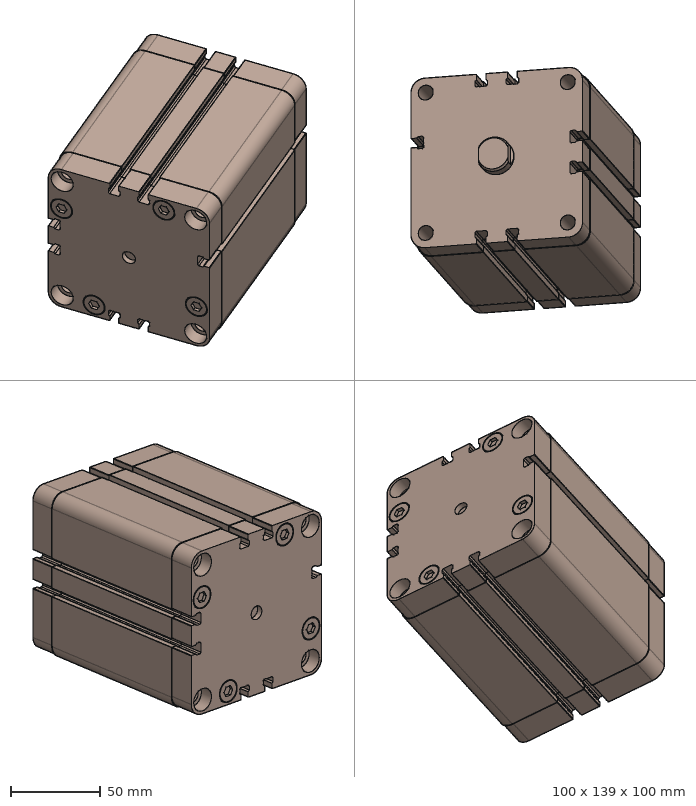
import cadquery as cq
import math

barrel_width = 100.0
cap_width = 99.1
total_length = 139.0
rod_length = 8.2
cap_length = 16.0
barrel_length = total_length - rod_length - 2 * cap_length
corner_radius = 8.0
front_y = -total_length / 2

overlap = 1.4
overcut = 1.4

slot_offset = 9.0
side_slot_offset = 12.1
slot_depth = 7.6
neck_width = 5.1
neck_depth = 3.9
slot_head_width = 7.0
slot_corner = 0.8
barrel_slot_clearance = 0
cap_slot_clearance = 0.1
cap_lip_chamfer = 0.3
barrel_lip_chamfer = 0.1

mount_spacing = 82.0
mount_diameter = 8.6
mount_counterbore = 13.5
mount_counterbore_depth = 8.3

screw_position = (21.4, 41.4)
screw_recess_diameter = 13.5
screw_head_diameter = 12.5
screw_recess_depth = 5.5
socket_across_flats = 5.7
socket_depth = 2.0

centre_hole_diameter = 8.0
centre_hole_depth = 3.5

rod_diameter = 20.0
rod_across_flats = 17.0
flat_length = 5.8
tip_chamfer_length = 1.5
tip_chamfer_radial = 1.0


def section_plane(y):
    """XZ plane at the given Y whose extrusions run towards +Y."""
    return cq.Workplane(cq.Plane(origin=(0, y, 0), xDir=(1, 0, 0), normal=(0, -1, 0)))


def prism_block(width, y, length):
    """Square block with rounded long edges."""
    return section_plane(y).rect(width, width).extrude(-length).edges("|Y").fillet(corner_radius)


def slot_cutter(offset, angle, width, clearance, lip, y, length):
    """Slot opening towards +Z at X = offset, then turned by angle about the Y axis.

    The clearance widens the slot all round and the lip bevels its mouth in a block of the given width.
    """
    mouth = width / 2
    floor = barrel_width / 2 - slot_depth - clearance
    shoulder = barrel_width / 2 - neck_depth + clearance
    neck = neck_width / 2 + clearance
    head = slot_head_width / 2 + clearance
    right_side = [
        (neck + lip, mouth + overcut),
        (neck + lip, mouth),
        (neck, mouth - lip),
        (neck, shoulder),
        (head, shoulder - (head - neck)),
        (head, floor + slot_corner),
        (head - slot_corner, floor),
    ]
    left_side = [(-x, z) for x, z in reversed(right_side)]
    outline = [(offset + x, z) for x, z in right_side + left_side]
    cutter = section_plane(y).polyline(outline).close().extrude(-length)
    return cutter.rotate((0, 0, 0), (0, 1, 0), angle)


def slotted_block(width, clearance, lip, y, length):
    """Rounded block with two slots on three sides and one on the +X side."""
    block = prism_block(width, y, length)
    slots = [(side * slot_offset, angle) for angle in (0, 180, 270) for side in (-1, 1)]
    slots.append((-side_slot_offset, 90))
    for offset, angle in slots:
        block = block.cut(slot_cutter(offset, angle, width, clearance, lip, y, length))
    return block


def piston_rod(y):
    """Rod end with a bevelled tip and flats that run out at 45 degrees."""
    radius = rod_diameter / 2
    flat = rod_across_flats / 2
    tip = y + rod_length
    rod = (
        cq.Workplane("XY")
        .polyline([
            (0, y - overlap),
            (radius, y - overlap),
            (radius, tip - tip_chamfer_length),
            (radius - tip_chamfer_radial, tip),
            (0, tip),
        ])
        .close()
        .revolve(360, (0, 0, 0), (0, 1, 0))
    )
    runout = radius - flat
    flat_start = tip - flat_length
    flat_cutter = (
        cq.Workplane("XY")
        .polyline([(flat, tip), (flat, flat_start), (radius, flat_start - runout), (radius, tip)])
        .close()
        .extrude(radius, both=True)
    )
    return rod.cut(flat_cutter).cut(flat_cutter.mirror("YZ"))


def cap_screw_cuts():
    """Gaps around the four flush screw heads and their hexagon sockets."""
    x, z = screw_position
    centres = [(x, z), (z, -x), (-x, -z), (-z, x)]
    screws = section_plane(front_y).pushPoints(centres)
    recesses = screws.circle(screw_recess_diameter / 2).extrude(-screw_recess_depth)
    heads = screws.circle(screw_head_diameter / 2).extrude(-screw_recess_depth)
    socket_diameter = socket_across_flats / math.cos(math.pi / 6)
    sockets = screws.polygon(6, socket_diameter).extrude(-socket_depth)
    return recesses.cut(heads).union(sockets)


barrel_y = front_y + cap_length
rear_cap_y = barrel_y + barrel_length
rod_y = rear_cap_y + cap_length

body = slotted_block(barrel_width, barrel_slot_clearance, barrel_lip_chamfer, barrel_y, barrel_length)
for cap_y in (front_y, rear_cap_y):
    cap = slotted_block(cap_width, cap_slot_clearance, cap_lip_chamfer, cap_y, cap_length)
    body = body.union(cap)
body = body.union(piston_rod(rod_y))

mounts = section_plane(front_y).rect(mount_spacing, mount_spacing, forConstruction=True).vertices()
body = body.cut(mounts.circle(mount_diameter / 2).extrude(-total_length))
body = body.cut(mounts.circle(mount_counterbore / 2).extrude(-mount_counterbore_depth))

centre_hole = section_plane(front_y).circle(centre_hole_diameter / 2).extrude(-centre_hole_depth)
body = body.cut(centre_hole)

result = body.cut(cap_screw_cuts())